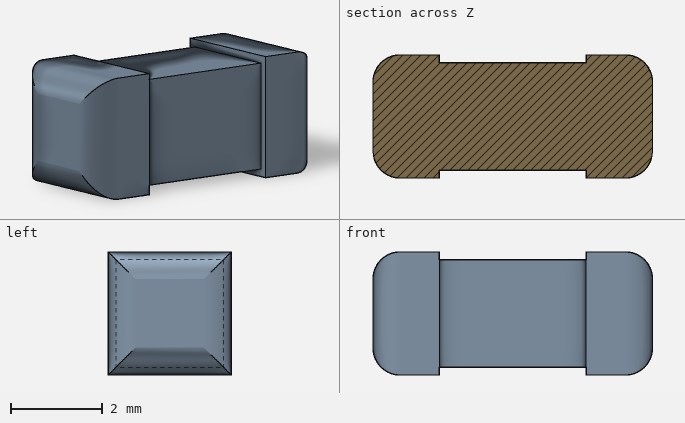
import cadquery as cq

total_length = 6.1
terminal_side = 2.69

terminal_length = 1.45
end_radius = 0.6

body_side = 2.35


def make_body():
    """Square bar spanning the gap between the two terminals."""
    body_length = total_length - 2 * terminal_length
    return cq.Workplane("XY").box(body_length, body_side, body_side)


def make_terminal(direction):
    """End cap at -X (direction -1) or +X (direction +1), rounded on its outer end."""
    outer_face = "<X" if direction < 0 else ">X"
    centre_x = direction * (total_length - terminal_length) / 2
    return (
        cq.Workplane("XY")
        .box(terminal_length, terminal_side, terminal_side)
        .faces(outer_face)
        .edges()
        .fillet(end_radius)
        .translate((centre_x, 0, 0))
    )


result = make_body()
for end_direction in (-1, 1):
    result = result.union(make_terminal(end_direction))